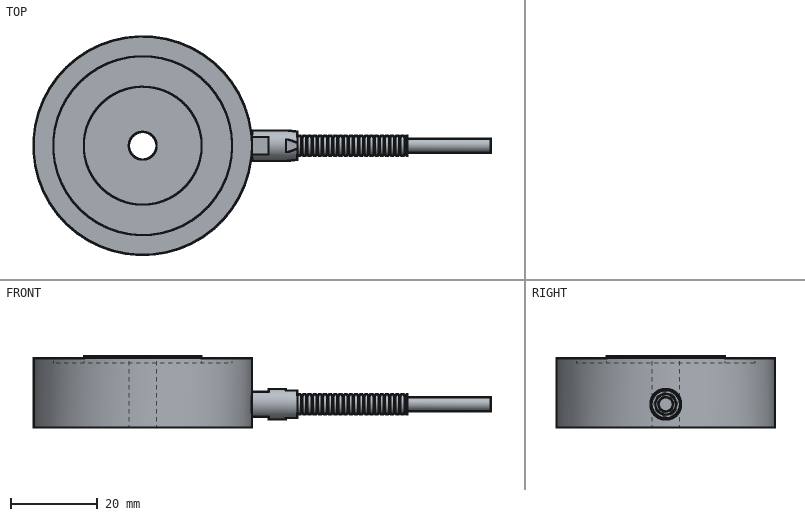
import cadquery as cq

body_diameter = 50.3
total_height = 16.5
button_rise = 0.5
recess_depth = 1.2
recess_diameter = 41.1
button_diameter = 27.2
bore_diameter = 6.3
body_radius = body_diameter / 2
body_height = total_height - button_rise

outlet_height = 5.4
gland_diameter = 7.0
gland_tip_diameter = 6.5
gland_length = 10.4
gland_tip_length = 2.2
wrench_flat_width = 5.8
wrench_flat_length = 3.8
tip_flat_width = 6.4
tip_flat_length = 2.6
neck_diameter = 5.4
neck_insertion = 2.1
gland_end = body_radius + gland_length

relief_diameter = 4.7
relief_root_diameter = 3.9
relief_length = 25.4
ring_count = 21
ring_width = 0.8
ring_pitch = (relief_length - ring_width / 2) / ring_count

cable_diameter = 3.3
overall_length = 105.2
cable_end = overall_length - body_radius


def cylinder_z(diameter, z_bottom, z_top):
    return cq.Workplane("XY").workplane(offset=z_bottom).circle(diameter / 2).extrude(z_top - z_bottom)


def cylinder_x(diameter, x_start, x_end):
    start = cq.Workplane("YZ", origin=(x_start, 0, outlet_height))
    return start.circle(diameter / 2).extrude(x_end - x_start)


def make_body():
    recess_floor = body_height - recess_depth
    body = cylinder_z(body_diameter, 0, body_height)
    body = body.cut(cylinder_z(recess_diameter, recess_floor, body_height))
    body = body.union(cylinder_z(button_diameter, 0, total_height))
    return body.cut(cylinder_z(bore_diameter, 0, total_height))


def cut_flats(solid, width, x_start, x_end):
    """Cut a pair of flats, facing up and down, `width` apart."""
    length = x_end - x_start
    for side in (1, -1):
        block_z = outlet_height + side * (width + gland_diameter) / 2
        block = cq.Workplane("XY").box(length, gland_diameter, gland_diameter)
        solid = solid.cut(block.translate((x_start + length / 2, 0, block_z)))
    return solid


def make_gland():
    start = body_radius
    cone_start = gland_end - gland_tip_length
    profile = [
        (start, 0),
        (start, gland_diameter / 2),
        (cone_start, gland_diameter / 2),
        (gland_end, gland_tip_diameter / 2),
        (gland_end, 0),
    ]
    gland = cq.Workplane("XY").polyline(profile).close().revolve(360, (0, 0, 0), (1, 0, 0))
    gland = gland.translate((0, 0, outlet_height))
    gland = cut_flats(gland, wrench_flat_width, start, body_radius + wrench_flat_length)
    gland = cut_flats(gland, tip_flat_width, gland_end - tip_flat_length, gland_end)
    return gland.union(cylinder_x(neck_diameter, start - neck_insertion, start))


def make_bend_relief():
    crest_radius = relief_diameter / 2
    root_radius = relief_root_diameter / 2
    ring_height = crest_radius - root_radius
    arc_radius = (ring_width**2 / 4 + ring_height**2) / (2 * ring_height)
    profile = cq.Workplane("XY").moveTo(gland_end, 0).lineTo(gland_end, root_radius)
    for ring in range(ring_count):
        ring_start = gland_end + ring * ring_pitch
        ring_end = ring_start + ring_width
        crest = ((ring_start + ring_end) / 2, crest_radius)
        profile = profile.threePointArc(crest, (ring_end, root_radius))
        profile = profile.lineTo(ring_start + ring_pitch, root_radius)
    last_end = gland_end + relief_length
    profile = profile.radiusArc((last_end, crest_radius), arc_radius)
    profile = profile.lineTo(last_end, 0).close()
    return profile.revolve(360, (0, 0, 0), (1, 0, 0)).translate((0, 0, outlet_height))


cable = cylinder_x(cable_diameter, gland_end, cable_end)
result = make_body().union(make_gland()).union(make_bend_relief()).union(cable)